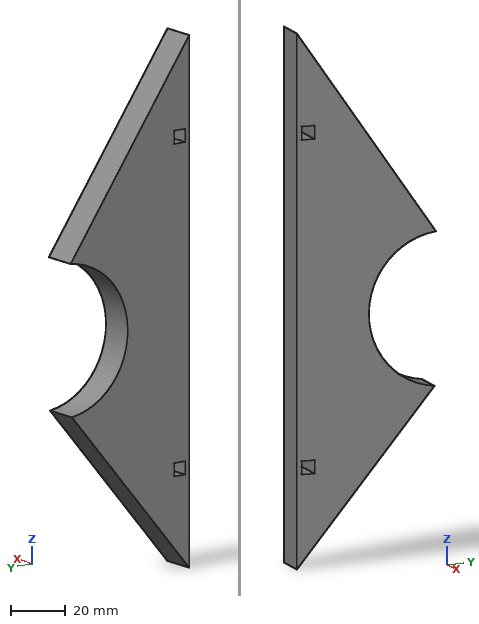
import cadquery as cq

length = 200.0
thickness = 13.2

lower_tip = (53.8, 64.5)
upper_tip = (54.5, 122.0)
bite_bottom = (28.2, 93.2)

hole_size = 5.0
hole_inset = 4.5
hole_heights = (37.8, 162.5)

plate = (
    cq.Workplane("YZ")
    .moveTo(0, 0)
    .lineTo(*lower_tip)
    .threePointArc(bite_bottom, upper_tip)
    .lineTo(0, length)
    .close()
    .extrude(thickness)
)

hole_centers = [(hole_inset, height) for height in hole_heights]
holes = (
    cq.Workplane("YZ")
    .pushPoints(hole_centers)
    .rect(hole_size, hole_size)
    .extrude(thickness)
)

result = plate.cut(holes)